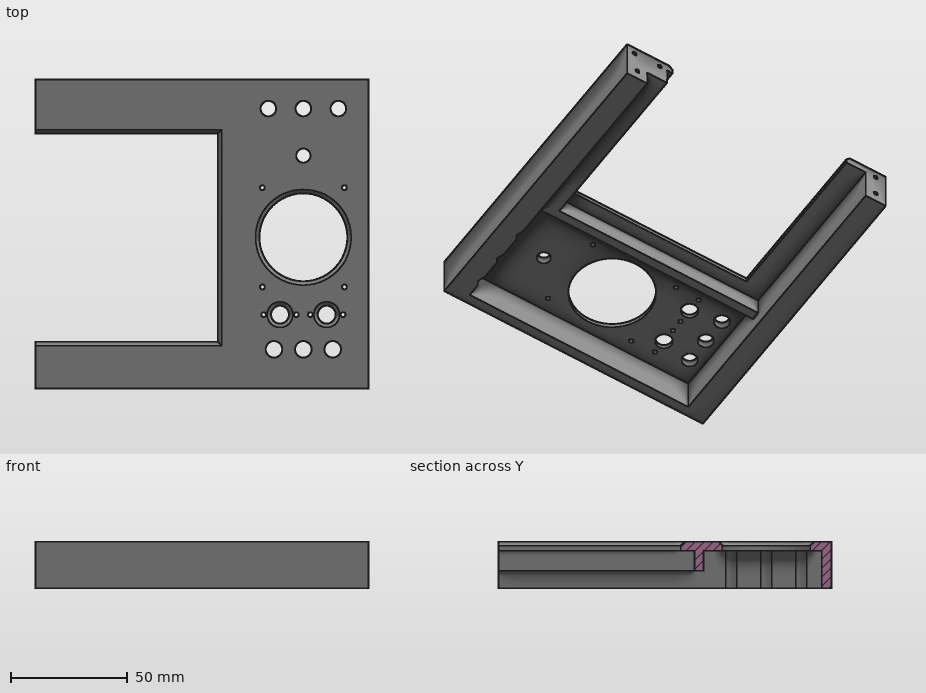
import cadquery as cq

length = 142.5
width = 132.2
height = 20.0
plate_thickness = 4.0
plate_bottom = height - plate_thickness

front_wall = 10.3
end_wall = 4.3
recess_height = 7.4
recess_back_y = 122.0
bay_back_y = 111.9
rib_front_x = 83.8
rib_thickness = 4.0

window_end_x = 78.0
window_front_y = 20.1
window_back_y = 109.0
bevel = 1.7

panel_x = 114.5
screw_diameter = 2.0
back_row_y = 119.7
back_row_pitch = 15.0
back_row_diameter = 6.5
front_row_y = 16.8
front_row_pitch = 12.5
front_row_diameter = 7.0
single_hole_y = 99.6
single_hole_diameter = 6.0
speaker_y = 64.7
speaker_diameter = 37.5
speaker_screw_dx = 17.5
speaker_screw_dy = 21.2
socket_y = 31.6
socket_offset = 10.0
socket_diameter = 7.5
socket_screw_offset = 7.0

pin_diameter = 2.0
pin_depth = 10.0
upper_pin_z = 16.1
lower_pin_z = 5.1
front_pin_y = front_wall / 2
lower_back_pin_y = 127.0
upper_back_pin_ys = (115.5, 128.4)


def block(x0, x1, y0, y1, z0, z1):
    """Box given by its limits along each axis."""
    return cq.Workplane("XY").box(x1 - x0, y1 - y0, z1 - z0, centered=False).translate((x0, y0, z0))


def panel_holes(body, points, diameter):
    """Drill vertical holes from the top face down through the part."""
    drills = cq.Workplane("XY").pushPoints(points).circle(diameter / 2).extrude(height)
    return body.cut(drills)


def beveled_hole(body, x, y, diameter):
    """Vertical hole with a 45 degree bevel at the top face."""
    radius = diameter / 2
    cone = cq.Solid.makeCone(radius, radius + bevel, bevel, cq.Vector(x, y, height - bevel))
    return panel_holes(body, [(x, y)], diameter).cut(cq.Workplane(cone))


def end_holes(body, points, diameter):
    """Drill blind holes at (y, z) points in the left end face."""
    drills = cq.Workplane("YZ").pushPoints(points).circle(diameter / 2).extrude(pin_depth)
    return body.cut(drills)


def row(y, pitch):
    """Three points centred on the panel."""
    return [(panel_x + step * pitch, y) for step in (-1, 0, 1)]


result = block(0, length, 0, width, 0, height)
inner_end_x = length - end_wall
cavity_start_x = rib_front_x + rib_thickness
result = result.cut(block(0, inner_end_x, front_wall, recess_back_y, 0, recess_height))
result = result.cut(block(0, rib_front_x, front_wall, bay_back_y, 0, plate_bottom))
result = result.cut(block(cavity_start_x, inner_end_x, front_wall, recess_back_y, 0, plate_bottom))

result = result.cut(block(0, window_end_x, window_front_y, window_back_y, plate_bottom, height))
bevel_cutter = (
    cq.Workplane("XY", origin=(0, 0, height))
    .moveTo(-bevel, window_front_y - bevel)
    .lineTo(window_end_x + bevel, window_front_y - bevel)
    .lineTo(window_end_x + bevel, window_back_y + bevel)
    .lineTo(-bevel, window_back_y + bevel)
    .close()
    .extrude(-bevel, taper=45)
)
result = result.cut(bevel_cutter)

result = panel_holes(result, row(back_row_y, back_row_pitch), back_row_diameter)
result = panel_holes(result, row(front_row_y, front_row_pitch), front_row_diameter)
result = panel_holes(result, [(panel_x, single_hole_y)], single_hole_diameter)

result = beveled_hole(result, panel_x, speaker_y, speaker_diameter)
speaker_screws = [
    (panel_x + side * speaker_screw_dx, speaker_y + end * speaker_screw_dy)
    for side in (-1, 1)
    for end in (-1, 1)
]
result = panel_holes(result, speaker_screws, screw_diameter)

for socket_x in (panel_x - socket_offset, panel_x + socket_offset):
    result = beveled_hole(result, socket_x, socket_y, socket_diameter)
    socket_screws = [(socket_x + side * socket_screw_offset, socket_y) for side in (-1, 1)]
    result = panel_holes(result, socket_screws, screw_diameter)

upper_pins = [(y, upper_pin_z) for y in (front_pin_y, *upper_back_pin_ys)]
lower_pins = [(y, lower_pin_z) for y in (front_pin_y, lower_back_pin_y)]
result = end_holes(result, upper_pins + lower_pins, pin_diameter)